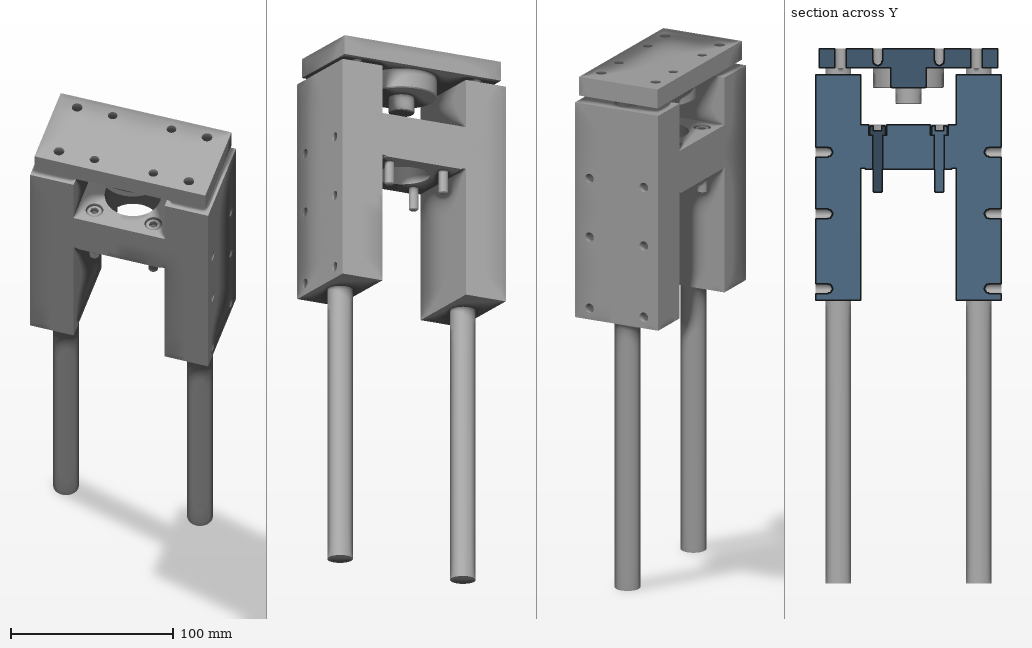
import cadquery as cq
import math

total_height = 330.0
plate_thickness = 12.2
plate_gap = 4.0

housing_width = 115.0
housing_depth = 58.0
housing_height = 139.3
slot_width = 58.7
upper_slot_depth = 30.7
bar_height = 27.7
bar_bore_diameter = 35.0
relief_width = 2.5
relief_depth = 0.5

plate_width = 110.2
plate_depth = 54.8
rod_diameter = 16.0
rod_spacing = 86.5
coupling_diameter = 44.0
coupling_height = 12.2
stub_diameter = 16.0
stub_height = 10.0
coupling_chamfer = 0.5
stub_chamfer = 0.5

hole_pitch = 38.0
thread_diameter = 6.0
thread_depth = 8.0
core_diameter = 5.0
core_depth = 9.2
drill_tip_angle = 118.0
clearance_diameter = 6.5
clearance_spacing = 83.8

side_row_drops = [48.0, 85.8, 132.0]

counterbore_diameter = 11.0
counterbore_depth = 6.5
head_diameter = 10.0
head_height = 6.0
head_chamfer = 1.0
shank_diameter = 6.0
shank_protrusion = 14.2
shank_chamfer = 0.5
socket_width = 5.0
socket_depth = 3.0
socket_sides = 6

plate_bottom = total_height - plate_thickness
housing_top = plate_bottom - plate_gap
housing_bottom = housing_top - housing_height
bar_top = housing_top - upper_slot_depth
bar_bottom = bar_top - bar_height
counterbore_floor = bar_top - counterbore_depth


def corner_points(x_spacing, y_spacing):
    """Four corners of a rectangle centred on the Z axis."""
    return [(sx * x_spacing / 2, sy * y_spacing / 2) for sx in (-1, 1) for sy in (-1, 1)]


pattern = corner_points(hole_pitch, hole_pitch)
clearance_points = corner_points(clearance_spacing, hole_pitch)
rod_points = [(-rod_spacing / 2, 0), (rod_spacing / 2, 0)]


def box(width, depth, bottom, top):
    """Block centred on the Z axis."""
    return cq.Workplane("XY", origin=(0, 0, bottom)).rect(width, depth).extrude(top - bottom)


def cylinders(points, diameter, bottom, top):
    """Upright cylinders at the given XY points."""
    base = cq.Workplane("XY", origin=(0, 0, bottom)).pushPoints(points)
    return base.circle(diameter / 2).extrude(top - bottom)


def tapped_hole(mouth, direction):
    """Blind tapped hole: thread bore, narrower core bore and conical drill tip."""
    start = cq.Vector(*mouth)
    axis = cq.Vector(*direction)
    core_radius = core_diameter / 2
    tip_length = core_radius / math.tan(math.radians(drill_tip_angle / 2))
    thread = cq.Solid.makeCylinder(thread_diameter / 2, thread_depth, start, axis)
    core = cq.Solid.makeCylinder(core_radius, core_depth, start, axis)
    tip = cq.Solid.makeCone(core_radius, 0, tip_length, start + axis * core_depth, axis)
    return thread.fuse(core, tip)


def make_housing():
    """H-shaped block with guide bores, counterbored bar and tapped side faces."""
    housing = box(housing_width, housing_depth, housing_bottom, housing_top)
    housing = housing.cut(box(slot_width, housing_depth, bar_top, housing_top))
    housing = housing.cut(box(slot_width, housing_depth, housing_bottom, bar_bottom))
    relief = box(slot_width, housing_depth, bar_bottom, bar_bottom + relief_depth)
    relief = relief.cut(box(slot_width - 2 * relief_width, housing_depth, bar_bottom, bar_top))
    housing = housing.cut(relief)
    housing = housing.cut(cylinders([(0, 0)], bar_bore_diameter, bar_bottom, bar_top))
    housing = housing.cut(cylinders(rod_points, rod_diameter, housing_bottom, housing_top))
    housing = housing.cut(cylinders(pattern, shank_diameter, bar_bottom, bar_top))
    housing = housing.cut(cylinders(pattern, counterbore_diameter, counterbore_floor, bar_top))
    for drop in side_row_drops:
        for y in (-hole_pitch / 2, hole_pitch / 2):
            for side in (-1, 1):
                mouth = (side * housing_width / 2, y, housing_top - drop)
                housing = housing.cut(tapped_hole(mouth, (-side, 0, 0)))
    return housing


def make_slide():
    """End plate in one piece with its two guide rods and the coupling below it."""
    plate = box(plate_width, plate_depth, plate_bottom, total_height)
    plate = plate.cut(cylinders(clearance_points, clearance_diameter, plate_bottom, total_height))
    rods = cylinders(rod_points, rod_diameter, 0, plate_bottom)
    coupling_bottom = plate_bottom - coupling_height
    coupling = cylinders([(0, 0)], coupling_diameter, coupling_bottom, plate_bottom)
    coupling = coupling.faces("<Z").chamfer(coupling_chamfer)
    stub = cylinders([(0, 0)], stub_diameter, coupling_bottom - stub_height, coupling_bottom)
    stub = stub.faces("<Z").chamfer(stub_chamfer)
    slide = plate.union(rods).union(coupling).union(stub)
    for x, y in pattern:
        slide = slide.cut(tapped_hole((x, y, total_height), (0, 0, -1)))
    return slide


def make_screw(x, y):
    """Socket head cap screw seated in a counterbore of the cross bar."""
    head_top = counterbore_floor + head_height
    shank = cylinders([(x, y)], shank_diameter, bar_bottom - shank_protrusion, counterbore_floor)
    shank = shank.faces("<Z").chamfer(shank_chamfer)
    head = cylinders([(x, y)], head_diameter, counterbore_floor, head_top)
    head = head.faces(">Z").chamfer(head_chamfer)
    socket = (
        cq.Workplane("XY", origin=(x, y, head_top))
        .polygon(socket_sides, socket_width, circumscribed=True)
        .extrude(-socket_depth)
    )
    return shank.union(head).cut(socket)


housing = make_housing()
slide = make_slide()
screws = [make_screw(x, y) for x, y in pattern]

bodies = [housing, slide, *screws]
result = cq.Compound.makeCompound([body.solids().val() for body in bodies])